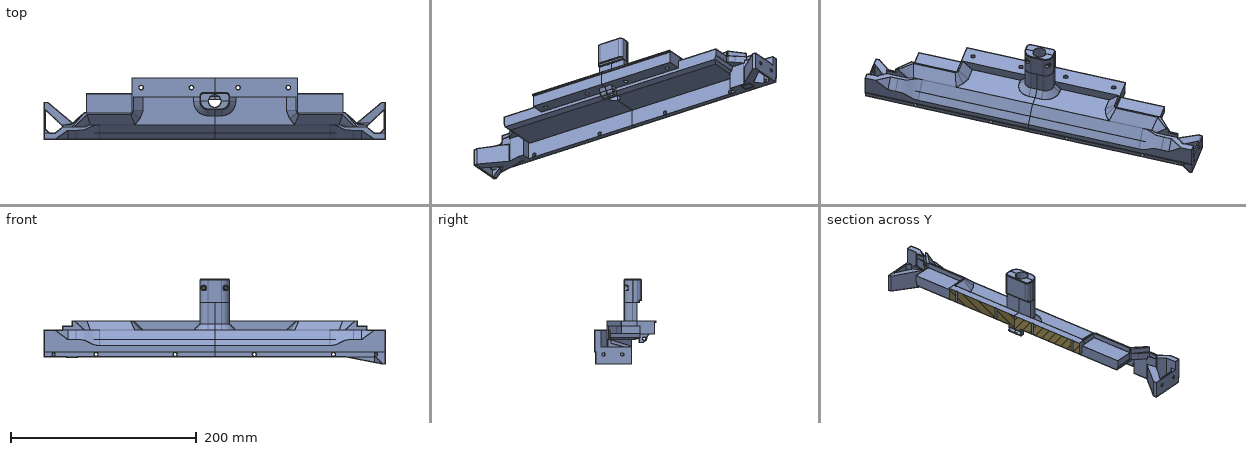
import cadquery as cq
import math


skirt_bottom = 7.75
skirt_step = 13.3
slope_foot = 20.0
frame_top = 26.3
rear_chamfer_top = 28.6
ledge_bottom = 33.2
shelf_top = 36.5
pad_top = 40.9
rim_top = 46.5
collar_bottom = 66.4
total_height = 91.5

half_length = 367.2 / 2
front_step = 1.1
wall_rear = 6.7
slope_run = 15.6
plate_thickness = 1.6
plate_depth = 39.8
gusset_width = 4.0
lug_front = 48.0
pad_rear = 49.0
pad_end = 138.2
body_taper = 1.5
body_end_chamfer = 3.0
rear_chamfer_run = 6.0

bar_half_length = 89.3
bar_front = 45.5
bar_rear = 66.0
bar_bottom = 32.3
bar_lip_height = 1.7
bar_lip_overhang = 1.3
bar_hole_places = (25.1, 79.2)
bar_hole_y = 55.6
bar_hole_diameter = 4.5

rim_inner = 87.7
rim_thickness = 1.5
rim_front = 26.7
recess_front = rim_front + rim_thickness
end_wall_front = 13.3
ledge_rear = 15.2
end_wall_x = 140.2
end_wall_rear = 28.7

slope_end = 124.1
dip_inner = 149.5
dip_outer = 158.0
shelf_end = 171.8
block_end = 163.8
block_inner = 135.0
block_rear = 17.0
brace_root = 153.3
brace_root_rear = 17.6

strip_hole_places = (42.6, 127.8)
end_hole_x = 173.6
strip_hole_z = 10.4
strip_hole_diameter = 4.1
small_hole_diameter = 3.4
plate_hole_places = (9.6, 29.6)
plate_hole_z = 18.2

tower_half_width = 16.0
tower_front = 31.9
tower_rear = 45.8
tower_corner = 9.0
flare_height = 6.7
bore_radius = 6.7
bore_y = 41.0
bore_flat_y = 42.6
collar_rear = 50.3
collar_split = 41.3
collar_rear_corner = 4.0
collar_rim_chamfer = 0.8
collar_bottom_step = 2.2
clamp_hole_x = 11.8
clamp_hole_z = 82.0
clamp_hole_diameter = 3.4
clamp_thread_diameter = 3.0
clamp_head_diameter = 6.0
clamp_head_floor = 36.0
clamp_thread_depth = 6.0

foot_start = 141.3
foot_tip = 181.0
foot_front_start = 173.2


def box(x0, x1, y0, y1, z0, z1):
    return cq.Workplane("XY").box(x1 - x0, y1 - y0, z1 - z0, centered=False).translate((x0, y0, z0))


def prism(points, z0, z1):
    """Plan outline raised from z0 to z1."""
    return cq.Workplane("XY").workplane(offset=z0).polyline(points).close().extrude(z1 - z0)


def side_prism(points, x0, x1):
    """Outline in Y and Z, drawn out from x0 to x1."""
    return cq.Workplane("YZ").workplane(offset=x0).polyline(points).close().extrude(x1 - x0)


def hole_along_y(x, z, diameter, y0, y1):
    return cq.Workplane("XZ", origin=(x, y0, z)).circle(diameter / 2).extrude(y0 - y1)


def hole_along_x(y, z, diameter, x0, x1):
    return cq.Workplane("YZ", origin=(x0, y, z)).circle(diameter / 2).extrude(x1 - x0)


def front_wall():
    """Front wall with the set-back strip along its lower edge."""
    profile = [
        (front_step, skirt_bottom), (wall_rear, skirt_bottom), (wall_rear, shelf_top),
        (0, shelf_top), (0, skirt_step), (front_step, skirt_step),
    ]
    return side_prism(profile, -half_length, 0)


def main_body():
    """Floor of the body, its ends drawn in below the ledge and its rear edge chamfered."""
    taper_end = -pad_end + body_taper
    end_profile = [
        (-pad_end, shelf_top), (-pad_end, ledge_bottom), (taper_end, rear_chamfer_top),
        (taper_end + body_end_chamfer, frame_top), (0, frame_top), (0, shelf_top),
    ]
    outline = cq.Workplane("XZ", origin=(0, wall_rear, 0)).polyline(end_profile).close()
    body = outline.extrude(wall_rear - pad_rear)
    rear_chamfer = side_prism(
        [(pad_rear, rear_chamfer_top), (pad_rear - rear_chamfer_run, frame_top), (pad_rear, frame_top)],
        -half_length, 0)
    return body.cut(rear_chamfer)


def front_end_cut():
    """Material taken off above the front slope, whose foot rises toward the end."""
    above = shelf_top + (shelf_top - slope_foot)
    outline = (
        cq.Workplane("XZ")
        .moveTo(0, slope_foot)
        .lineTo(-slope_end, slope_foot)
        .spline([(-141.4, 25.9), (-dip_inner, frame_top)], tangents=[(-1, 0), (-1, 0)], includeCurrent=True)
        .lineTo(-dip_outer, frame_top)
        .lineTo(-shelf_end, shelf_top)
        .lineTo(-shelf_end, above)
        .lineTo(0, above)
        .close()
    )
    lean = cq.Vector(0, slope_run, shelf_top - slope_foot)
    return cq.Workplane(cq.Solid.extrudeLinear(outline.vals()[0], [], lean))


def end_block(bottom):
    """Thickened wall behind the front wall, where the brace starts."""
    outline = [
        (-shelf_end, wall_rear), (-block_end, end_wall_front), (-block_end, ledge_rear), (-152.0, block_rear),
        (-block_inner, block_rear), (-block_inner, wall_rear),
    ]
    return prism(outline, bottom, shelf_top)


def end_ledge():
    """Slanted outer wall that carries the rim down past the end of the pad."""
    outline = [
        (-block_end, end_wall_front), (-block_end, ledge_rear), (-155.0, ledge_rear), (-146.0, 23.8),
        (-end_wall_x, end_wall_rear), (-block_inner, end_wall_rear), (-block_inner, end_wall_front),
    ]
    foot = prism(outline, ledge_bottom, shelf_top)
    wall = [
        (-block_end, end_wall_front), (-block_end, ledge_rear), (-155.0, ledge_rear), (-146.0, 23.8),
        (-end_wall_x, end_wall_rear), (-139.0, 27.0), (-151.0, end_wall_front),
    ]
    return foot.union(prism(wall, shelf_top, pad_top))


def raised_rim():
    """Raised tray for the pad, with sloped front and inner faces and a hipped end."""
    outer_points = [
        (-153.6, end_wall_front), (-end_wall_x, end_wall_rear), (-pad_end, end_wall_rear),
        (-pad_end, pad_rear),
    ]
    foot = [
        (-77.0, pad_rear), (-77.0, 30.7), (-80.5, 22.5), (-86.0, slope_run), (-134.0, slope_run),
        (-140.0, end_wall_front),
    ]
    crest = [
        (-rim_inner, pad_rear), (-rim_inner, 30.7), (-88.4, 28.3), (-90.5, rim_front), (-137.5, rim_front),
        (-151.0, end_wall_front),
    ]
    tray = (
        cq.Workplane("XY").workplane(offset=shelf_top).polyline(foot + outer_points).close()
        .workplane(offset=rim_top - shelf_top).polyline(crest + outer_points).close()
        .loft(ruled=True)
    )
    recess = box(-pad_end, -rim_inner - rim_thickness, recess_front, pad_rear, pad_top, rim_top)
    return tray.cut(recess)


def mounting_bar():
    lip_bottom = rim_top - bar_lip_height
    bar = box(-bar_half_length, 0, bar_front, bar_rear - bar_lip_overhang, bar_bottom, lip_bottom)
    bar = bar.union(box(-bar_half_length, 0, bar_front, bar_rear, lip_bottom, rim_top))
    for x in bar_hole_places:
        drill = cq.Workplane("XY", origin=(-x, bar_hole_y, bar_bottom)).circle(bar_hole_diameter / 2)
        bar = bar.cut(drill.extrude(rim_top - bar_bottom))
    return bar


def joint_lug():
    """Lug under the bar beside the joint, with a cross hole for the joining bolt."""
    length = 8.0
    bottom = 23.0
    bolt_y = 53.4
    bolt_z = 27.3
    boss_diameter = 5.5
    lug = side_prism(
        [(58.6, bar_bottom), (52.3, bottom), (lug_front, bottom), (lug_front, bar_bottom)], -length, 0)
    lug = lug.union(hole_along_x(bolt_y, bolt_z, boss_diameter, -length, 0))
    return lug.cut(hole_along_x(bolt_y, bolt_z, small_hole_diameter, -length, 0))


def end_plate(bottom):
    return box(-half_length, -half_length + plate_thickness, front_step, plate_depth, bottom, frame_top)


def corner_gusset():
    """Web across the inside corner of the front wall and the end plate."""
    inside = -half_length + plate_thickness
    corner = [(inside, wall_rear), (inside + gusset_width, wall_rear), (inside, wall_rear + gusset_width)]
    return prism(corner, skirt_bottom, frame_top)


def brace(bottom):
    """Diagonal wall from the end block to the rear of the end plate."""
    inside = -half_length + plate_thickness
    root_front = 14.2
    outline = [
        (inside, plate_depth), (-179.8, plate_depth), (-brace_root, brace_root_rear),
        (-brace_root, root_front), (-block_end, root_front), (inside, 31.4),
    ]
    return prism(outline, bottom, frame_top)


def tower_plan(rear):
    """Tower outline with round front corners, closed at the given rear face."""
    flat = tower_half_width - tower_corner
    corner_y = tower_front + tower_corner
    diagonal = tower_corner * math.sqrt(0.5)
    return (
        cq.Workplane("XY")
        .moveTo(-tower_half_width, rear)
        .lineTo(-tower_half_width, corner_y)
        .threePointArc((-flat - diagonal, corner_y - diagonal), (-flat, tower_front))
        .lineTo(flat, tower_front)
        .threePointArc((flat + diagonal, corner_y - diagonal), (tower_half_width, corner_y))
        .lineTo(tower_half_width, rear)
        .close()
    )


def tower_half():
    height = collar_bottom - shelf_top
    tower = tower_plan(tower_rear).extrude(height)
    flare = tower_plan(tower_rear).offset2D(flare_height).extrude(flare_height, taper=45)
    tower = tower.union(flare).translate((0, 0, shelf_top))
    half_space = box(-half_length, 0, 0, bar_rear, 0, total_height)
    return tower.intersect(half_space)


def air_passage():
    """Round passage down the tower with a flat rear side."""
    bore = cq.Workplane("XY", origin=(0, bore_y, 0)).circle(bore_radius).extrude(collar_bottom)
    keep = box(-bore_radius, bore_radius, 0, bore_flat_y, 0, collar_bottom)
    return bore.intersect(keep)


def housing_half(end_hole_z):
    """Complete -X half, with its end plate holes at the given height."""
    half = front_wall().union(main_body()).union(end_block(skirt_bottom)).cut(front_end_cut())
    for piece in (end_ledge(), raised_rim(), mounting_bar(), joint_lug(),
                  end_plate(skirt_bottom), corner_gusset(), brace(skirt_bottom), tower_half()):
        half = half.union(piece)
    half = half.cut(air_passage())
    for x in strip_hole_places:
        half = half.cut(hole_along_y(-x, strip_hole_z, strip_hole_diameter, 0, wall_rear))
    half = half.cut(hole_along_y(-end_hole_x, strip_hole_z, small_hole_diameter, 0, wall_rear))
    for y in plate_hole_places:
        plate_hole = hole_along_x(y, end_hole_z, small_hole_diameter,
                                  -half_length, -half_length + plate_thickness)
        half = half.cut(plate_hole)
    return half


def left_housing():
    """Left half with a low pad under the root of its brace."""
    low_pad_height = 0.85
    low_pad = box(-159.5, -148.0, wall_rear, ledge_rear, skirt_bottom - low_pad_height, skirt_bottom)
    return housing_half(plate_hole_z).union(low_pad)


def foot_frame():
    """Walls of the +X end carried down to Z = 0, with undersides that slope up toward the middle."""
    def below(start):
        profile = [(start, skirt_bottom), (half_length, skirt_bottom), (half_length, 0), (foot_tip, 0)]
        return cq.Workplane("XZ").polyline(profile).close().extrude(-plate_depth)

    walls = end_block(0).union(brace(0)).union(end_plate(0)).mirror("YZ")
    strip = box(foot_front_start, half_length, front_step, wall_rear, 0, skirt_bottom)
    return walls.intersect(below(foot_start)).union(strip.intersect(below(foot_front_start)))


def right_housing():
    """Mirrored half whose end plate and outer brace end sit lower, on the foot."""
    inside = half_length - plate_thickness
    plate_top = frame_top - skirt_bottom
    fall = (
        cq.Workplane("XZ", origin=(0, brace_root_rear, 0))
        .polyline([(brace_root, frame_top), (inside, frame_top), (inside, plate_top)])
        .close().extrude(brace_root_rear - plate_depth)
    )
    above_plate = box(inside, half_length, wall_rear, plate_depth, plate_top, frame_top)
    above_gusset = box(inside - gusset_width, inside, wall_rear, wall_rear + gusset_width,
                       plate_top, frame_top)
    half = housing_half(plate_hole_z - skirt_bottom).mirror("YZ")
    return half.cut(fall).cut(above_plate).cut(above_gusset).union(foot_frame())


def collar_blank():
    blank = tower_plan(collar_rear).extrude(total_height - collar_bottom)
    blank = blank.edges("|Z and >Y").fillet(collar_rear_corner)
    blank = blank.faces(">Z").edges().chamfer(collar_rim_chamfer)
    bore = cq.Workplane("XY", origin=(0, bore_y, 0)).circle(bore_radius).extrude(total_height)
    return blank.cut(bore).translate((0, 0, collar_bottom))


def front_collar():
    keep = box(-tower_half_width, tower_half_width, 0, collar_split, 0, total_height)
    collar = collar_blank().intersect(keep)
    for x in (-clamp_hole_x, clamp_hole_x):
        collar = collar.cut(hole_along_y(x, clamp_hole_z, clamp_hole_diameter, tower_front, collar_split))
        collar = collar.cut(hole_along_y(x, clamp_hole_z, clamp_head_diameter, tower_front, clamp_head_floor))
    return collar


def rear_collar():
    keep = box(-tower_half_width, tower_half_width, collar_split, collar_rear, 0, total_height)
    bottom_edge = box(-tower_half_width, tower_half_width, collar_rear - collar_bottom_step, collar_rear,
                      collar_bottom, collar_bottom + collar_bottom_step)
    collar = collar_blank().intersect(keep).cut(bottom_edge)
    for x in (-clamp_hole_x, clamp_hole_x):
        collar = collar.cut(hole_along_y(x, clamp_hole_z, clamp_thread_diameter,
                                         collar_split, collar_split + clamp_thread_depth))
    return collar


result = cq.Compound.makeCompound([
    left_housing().val(),
    right_housing().val(),
    front_collar().val(),
    rear_collar().val(),
])